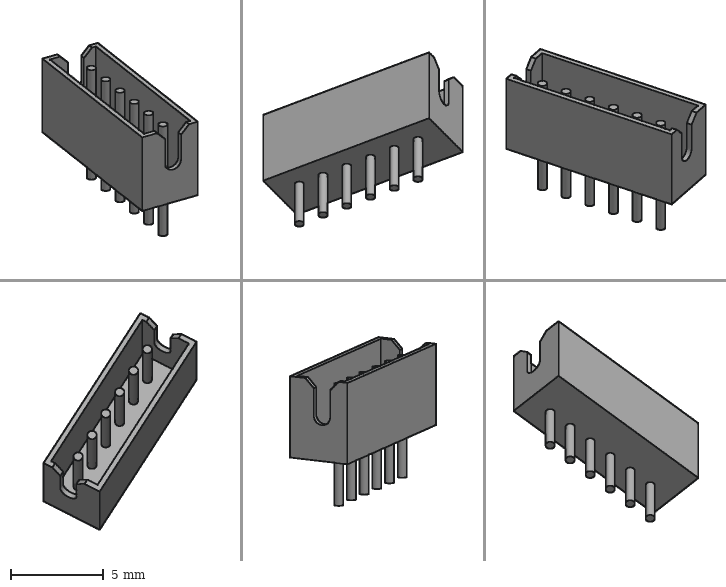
import cadquery as cq

LENGTH = 10.5
WIDTH = 3.5
HEIGHT = 4.5
WALL = 0.3
FLOOR = 0.5

NOTCH_WIDTH = 1.0
NOTCH_DEPTH = 2.5
NOTCH_Y = 0.2
NOTCH_FLARE = 0.5

PIN_COUNT = 6
PIN_DIAMETER = 0.5
PIN_PITCH = 1.5
PIN_Y = 0.45
PIN_BELOW_HOUSING = 2.7
PIN_TOP_BELOW_RIM = 0.49

pin_length = PIN_BELOW_HOUSING + HEIGHT - PIN_TOP_BELOW_RIM
pin_positions = [
    ((index - (PIN_COUNT - 1) / 2) * PIN_PITCH, PIN_Y) for index in range(PIN_COUNT)
]


def make_shell():
    """Box open at the top, with its underside at Z = 0."""
    block = cq.Workplane("XY").box(LENGTH, WIDTH, HEIGHT, centered=(True, True, False))
    cavity = (
        cq.Workplane("XY")
        .workplane(offset=FLOOR)
        .rect(LENGTH - 2 * WALL, WIDTH - 2 * WALL)
        .extrude(HEIGHT - FLOOR)
    )
    return block.cut(cavity)


def make_end_notch():
    """Round-bottomed notch with a flared mouth, running the full length in X."""
    half_width = NOTCH_WIDTH / 2
    left = NOTCH_Y - half_width
    right = NOTCH_Y + half_width
    notch_bottom = HEIGHT - NOTCH_DEPTH
    arc_end = notch_bottom + half_width
    flare_bottom = HEIGHT - NOTCH_FLARE
    return (
        cq.Workplane("YZ")
        .moveTo(left - NOTCH_FLARE, HEIGHT)
        .lineTo(left, flare_bottom)
        .lineTo(left, arc_end)
        .threePointArc((NOTCH_Y, notch_bottom), (right, arc_end))
        .lineTo(right, flare_bottom)
        .lineTo(right + NOTCH_FLARE, HEIGHT)
        .close()
        .extrude(LENGTH / 2, both=True)
    )


def make_pin(x, y):
    """Straight round pin that passes through the housing floor."""
    return (
        cq.Workplane("XY")
        .workplane(offset=-PIN_BELOW_HOUSING)
        .center(x, y)
        .circle(PIN_DIAMETER / 2)
        .extrude(pin_length)
    )


def make_housing():
    """Notched shell with one close-fitting hole for each pin."""
    return (
        make_shell()
        .cut(make_end_notch())
        .faces("<Z")
        .workplane(origin=(0, 0, 0), invert=True)
        .pushPoints(pin_positions)
        .circle(PIN_DIAMETER / 2)
        .cutBlind(FLOOR)
    )


housing = make_housing()
pins = [make_pin(x, y) for x, y in pin_positions]

result = cq.Compound.makeCompound([housing.val(), *[pin.val() for pin in pins]])